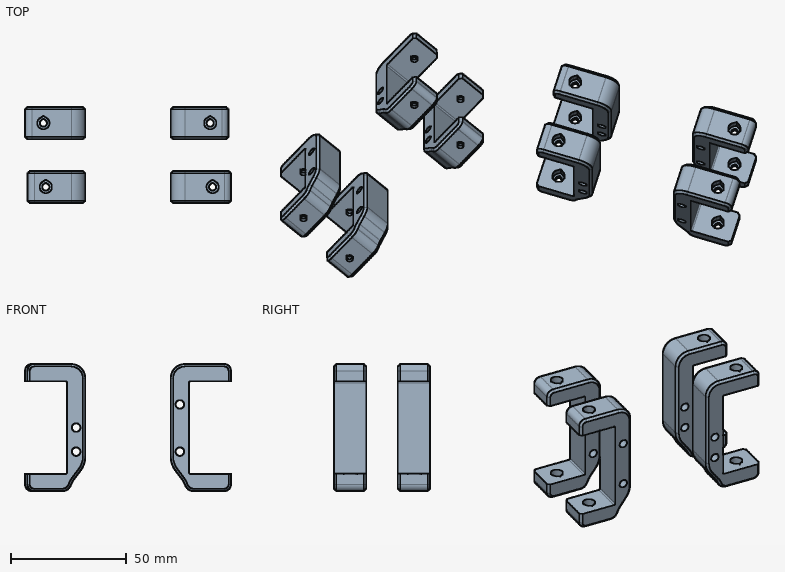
import cadquery as cq
import math

HEIGHT = 55.0
WIDTH = 14.0
SPINE_THICKNESS = 8.0
ARM_THICKNESS = 7.5
LONG_REACH = 26.15
SHORT_REACH = 25.1

SPINE_GAP = 36.81
ROW_PITCH = 27.61

SHOULDER_RADIUS = 6.2
TIP_RADIUS = 3.0
INNER_CORNER_RADIUS = 0.6
HEEL_RADIUS = 4.0
HEEL_CENTER_X = 10.0
HOLLOW_RADIUS = 10.0
BEND_RADIUS = 10.0
HEEL_ANGLE = math.radians(20)
SLOPE_ANGLE = math.radians(37)
EDGE_CHAMFER = 1.1

ARM_HOLE_FROM_TIP = 8.0
BORE_RADIUS = 2.65
BORE_DEPTH = 5.0
PILOT_RADIUS = 1.5
TEARDROP_APEX_RATIO = 1.2

CROSS_HOLE_DIAMETER = 3.6
LOWER_CROSS_HOLE_Z = 17.1
LEFT_UPPER_CROSS_HOLE_Z = HEIGHT / 2
RIGHT_UPPER_CROSS_HOLE_Z = LEFT_UPPER_CROSS_HOLE_Z + 10.0


def on_circle(center, radius, angle):
    """Point on a circle in the XZ plane, angle counted from +X toward +Z."""
    return (center[0] + radius * math.cos(angle), center[1] + radius * math.sin(angle))


def bracket_outline(reach):
    """Outer outline of a bracket: spine back at x = 0, arm tips at x = reach."""
    heel_center = (HEEL_CENTER_X, HEEL_RADIUS)
    heel_start_angle = math.radians(270)
    heel_end_angle = math.pi + HEEL_ANGLE
    heel_mid_angle = (heel_start_angle + heel_end_angle) / 2
    heel_end = on_circle(heel_center, HEEL_RADIUS, heel_end_angle)

    hollow_center = on_circle(heel_center, HEEL_RADIUS + HOLLOW_RADIUS, heel_end_angle)
    hollow_mid = on_circle(hollow_center, HOLLOW_RADIUS, (HEEL_ANGLE + SLOPE_ANGLE) / 2)
    hollow_end = on_circle(hollow_center, HOLLOW_RADIUS, SLOPE_ANGLE)

    bend_start_x = BEND_RADIUS * (1 - math.cos(SLOPE_ANGLE))
    bend_start_z = hollow_end[1] + (hollow_end[0] - bend_start_x) / math.tan(SLOPE_ANGLE)
    bend_center = (BEND_RADIUS, bend_start_z + BEND_RADIUS * math.sin(SLOPE_ANGLE))
    bend_mid = on_circle(bend_center, BEND_RADIUS, math.pi + SLOPE_ANGLE / 2)

    shoulder_center = (SHOULDER_RADIUS, HEIGHT - SHOULDER_RADIUS)
    top_tip_center = (reach - TIP_RADIUS, HEIGHT - TIP_RADIUS)
    bottom_tip_center = (reach - TIP_RADIUS, TIP_RADIUS)
    eighth_turn = math.pi / 4

    return (
        cq.Workplane("XZ", origin=(0, WIDTH / 2, 0))
        .moveTo(HEEL_CENTER_X, 0)
        .threePointArc(on_circle(heel_center, HEEL_RADIUS, heel_mid_angle), heel_end)
        .threePointArc(hollow_mid, hollow_end)
        .lineTo(bend_start_x, bend_start_z)
        .threePointArc(bend_mid, (0, bend_center[1]))
        .lineTo(0, shoulder_center[1])
        .threePointArc(
            on_circle(shoulder_center, SHOULDER_RADIUS, 3 * eighth_turn),
            (shoulder_center[0], HEIGHT),
        )
        .lineTo(top_tip_center[0], HEIGHT)
        .threePointArc(
            on_circle(top_tip_center, TIP_RADIUS, eighth_turn),
            (reach, top_tip_center[1]),
        )
        .lineTo(reach, bottom_tip_center[1])
        .threePointArc(
            on_circle(bottom_tip_center, TIP_RADIUS, -eighth_turn),
            (bottom_tip_center[0], 0),
        )
        .close()
    )


def mouth(reach):
    """Block removed between the arms, with rounded corners at the spine."""
    mouth_depth = reach - SPINE_THICKNESS
    return (
        cq.Workplane("XY")
        .box(2 * mouth_depth, 2 * WIDTH, HEIGHT - 2 * ARM_THICKNESS)
        .edges("|Y")
        .fillet(INNER_CORNER_RADIUS)
        .translate((SPINE_THICKNESS + mouth_depth, 0, HEIGHT / 2))
    )


def teardrop(radius, x, bottom_z, depth):
    """Upright round prism whose +Y side rises to a point, tangent to the circle."""
    touch_angle = math.asin(1 / TEARDROP_APEX_RATIO)
    touch_x = radius * math.cos(touch_angle)
    touch_y = radius * math.sin(touch_angle)
    return (
        cq.Workplane("XY", origin=(x, 0, bottom_z))
        .moveTo(touch_x, touch_y)
        .lineTo(0, radius * TEARDROP_APEX_RATIO)
        .lineTo(-touch_x, touch_y)
        .threePointArc((0, -radius), (touch_x, touch_y))
        .close()
        .extrude(depth)
    )


def stepped_arm_hole(x, arm_top_z):
    """Wide bore from the upper face of an arm with a narrow pilot below it."""
    pilot = teardrop(PILOT_RADIUS, x, arm_top_z - ARM_THICKNESS, ARM_THICKNESS)
    bore = teardrop(BORE_RADIUS, x, arm_top_z - BORE_DEPTH, BORE_DEPTH)
    return pilot.union(bore)


def cross_hole(z):
    """Round hole along Y through the middle of the spine."""
    return (
        cq.Workplane("XZ", origin=(SPINE_THICKNESS / 2, WIDTH / 2, z))
        .circle(CROSS_HOLE_DIAMETER / 2)
        .extrude(WIDTH)
    )


def make_bracket(reach, upper_cross_hole_z):
    """One bracket that opens toward +X and is centred on y = 0."""
    bracket = bracket_outline(reach).extrude(WIDTH)
    bracket = bracket.faces("<Y or >Y").chamfer(EDGE_CHAMFER)
    bracket = bracket.cut(mouth(reach))
    for arm_top_z in (ARM_THICKNESS, HEIGHT):
        bracket = bracket.cut(stepped_arm_hole(reach - ARM_HOLE_FROM_TIP, arm_top_z))
    for hole_z in (LOWER_CROSS_HOLE_Z, upper_cross_hole_z):
        bracket = bracket.cut(cross_hole(hole_z))
    return bracket


def make_left_bracket(reach, y):
    """Bracket on the -X side, opening toward -X."""
    bracket = make_bracket(reach, LEFT_UPPER_CROSS_HOLE_Z).mirror("YZ")
    return bracket.translate((-SPINE_GAP / 2, y, 0))


def make_right_bracket(reach, y):
    """Bracket on the +X side, opening toward +X."""
    bracket = make_bracket(reach, RIGHT_UPPER_CROSS_HOLE_Z)
    return bracket.translate((SPINE_GAP / 2, y, 0))


FRONT_Y = -ROW_PITCH / 2
BACK_Y = ROW_PITCH / 2

left_front_bracket = make_left_bracket(SHORT_REACH, FRONT_Y)
left_back_bracket = make_left_bracket(LONG_REACH, BACK_Y)
right_front_bracket = make_right_bracket(LONG_REACH, FRONT_Y)
right_back_bracket = make_right_bracket(SHORT_REACH, BACK_Y)

result = cq.Compound.makeCompound(
    [
        left_front_bracket.val(),
        left_back_bracket.val(),
        right_front_bracket.val(),
        right_back_bracket.val(),
    ]
)